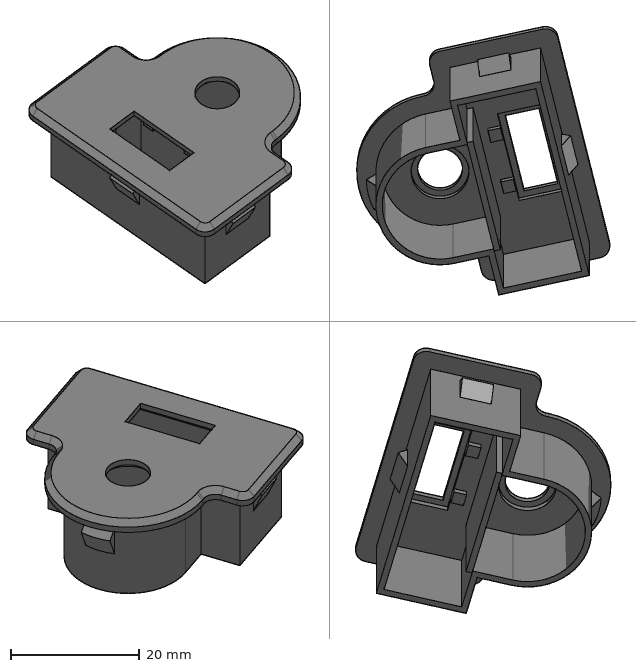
import cadquery as cq

plate_width = 39.5
plate_thickness = 2.0
plate_edge_chamfer = 1.0
plate_corner_radius = 2.0
lip_thickness = 1.0
overhang = 3.0

skirt_depth = 14.0
skirt_lobe_radius = 10.0
skirt_front_y = -20.0
skirt_shoulder_y = -5.5
wall = 1.0

hole_diameter = 7.0
hole_recess_diameter = 9.0

port_width = 13.0
port_depth = 5.4
port_center_y = -14.6
port_recess_margin = 1.0

clip_width = 5.0
clip_reach = 1.5
clip_top_z = -1.5
clip_ridge_z = -3.0
clip_bottom_z = -6.48

post_size = 2.0
post_drop = 1.0
post_center_x = 4.42

divider_lap = 0.35

skirt_half_width = plate_width / 2 - overhang
skirt_center_y = (skirt_front_y + skirt_shoulder_y) / 2
port_back_y = port_center_y + port_depth / 2
lip_underside_z = plate_thickness - lip_thickness


def lobed_outline(offset, z):
    """Skirt outline grown outward by the offset (shrunk when negative)."""
    half_width = skirt_half_width + offset
    lobe_radius = skirt_lobe_radius + offset
    front_y = skirt_front_y - offset
    shoulder_y = skirt_shoulder_y + offset
    return (
        cq.Workplane("XY", origin=(0, 0, z))
        .moveTo(-half_width, front_y)
        .lineTo(half_width, front_y)
        .lineTo(half_width, shoulder_y)
        .lineTo(lobe_radius, shoulder_y)
        .lineTo(lobe_radius, 0)
        .threePointArc((0, lobe_radius), (-lobe_radius, 0))
        .lineTo(-lobe_radius, shoulder_y)
        .lineTo(-half_width, shoulder_y)
        .close()
    )


def port_block(margin, bottom_z, top_z):
    """Block as large as the port, widened by the margin on every side."""
    return (
        cq.Workplane("XY", origin=(0, port_center_y, bottom_z))
        .rect(port_width + 2 * margin, port_depth + 2 * margin)
        .extrude(top_z - bottom_z)
    )


def make_plate():
    plate = lobed_outline(overhang, 0).extrude(plate_thickness)
    corners = plate.edges("|Z").filter(lambda edge: abs(edge.Center().y) > plate_corner_radius)
    plate = corners.fillet(plate_corner_radius)
    plate = plate.faces(">Z").chamfer(plate_edge_chamfer)
    hole = cq.Workplane("XY").circle(hole_diameter / 2).extrude(plate_thickness)
    hole_recess = cq.Workplane("XY").circle(hole_recess_diameter / 2).extrude(lip_underside_z)
    port = port_block(0, 0, plate_thickness)
    port_recess = port_block(port_recess_margin, 0, lip_underside_z)
    return plate.cut(hole).cut(hole_recess).cut(port).cut(port_recess)


def make_skirt():
    outside = lobed_outline(0, -skirt_depth).extrude(skirt_depth)
    inside = lobed_outline(-wall, -skirt_depth).extrude(skirt_depth)
    return outside.cut(inside)


def clip_profile(distance):
    """Triangular clip section on a -Y wall at the given distance, rooted halfway into the wall."""
    root = distance - wall / 2
    return (
        cq.Workplane("YZ")
        .moveTo(-root, clip_top_z)
        .lineTo(-distance, clip_top_z)
        .lineTo(-distance - clip_reach, clip_ridge_z)
        .lineTo(-distance, clip_bottom_z)
        .lineTo(-root, clip_bottom_z)
        .close()
    )


def make_flat_clip(distance, turn, center_y):
    """Straight clip on a flat wall, turned about Z from the -Y side."""
    clip = clip_profile(distance).extrude(clip_width / 2, both=True)
    return clip.rotate((0, 0, 0), (0, 0, 1), turn).translate((0, center_y, 0))


def make_lobe_clip():
    """Clip that follows the curve of the lobe, cut off square at both ends."""
    ring = clip_profile(skirt_lobe_radius).revolve(360, (0, 0, 0), (0, 1, 0))
    clip_length = skirt_lobe_radius + clip_reach
    clip_zone = (
        cq.Workplane("XY", origin=(0, clip_length / 2, -skirt_depth))
        .rect(clip_width, clip_length)
        .extrude(skirt_depth)
    )
    return ring.intersect(clip_zone)


def make_post(x):
    post_center_y = port_back_y + port_recess_margin + post_size / 2
    return (
        cq.Workplane("XY", origin=(x, post_center_y, -post_drop))
        .rect(post_size, post_size)
        .extrude(post_drop)
    )


def make_housing():
    housing = make_plate().union(make_skirt())
    housing = housing.union(make_flat_clip(-skirt_front_y, 0, 0))
    housing = housing.union(make_lobe_clip())
    for turn in (-90, 90):
        housing = housing.union(make_flat_clip(skirt_half_width, turn, skirt_center_y))
    for x in (-post_center_x, post_center_x):
        housing = housing.union(make_post(x))
    return housing


def make_divider():
    half_width = skirt_lobe_radius - wall + divider_lap
    back_y = skirt_shoulder_y - wall
    return (
        cq.Workplane("XY", origin=(0, back_y - wall / 2, -skirt_depth))
        .rect(2 * half_width, wall)
        .extrude(skirt_depth)
    )


housing = make_housing()
divider = make_divider()

result = cq.Compound.makeCompound([housing.val(), divider.val()])